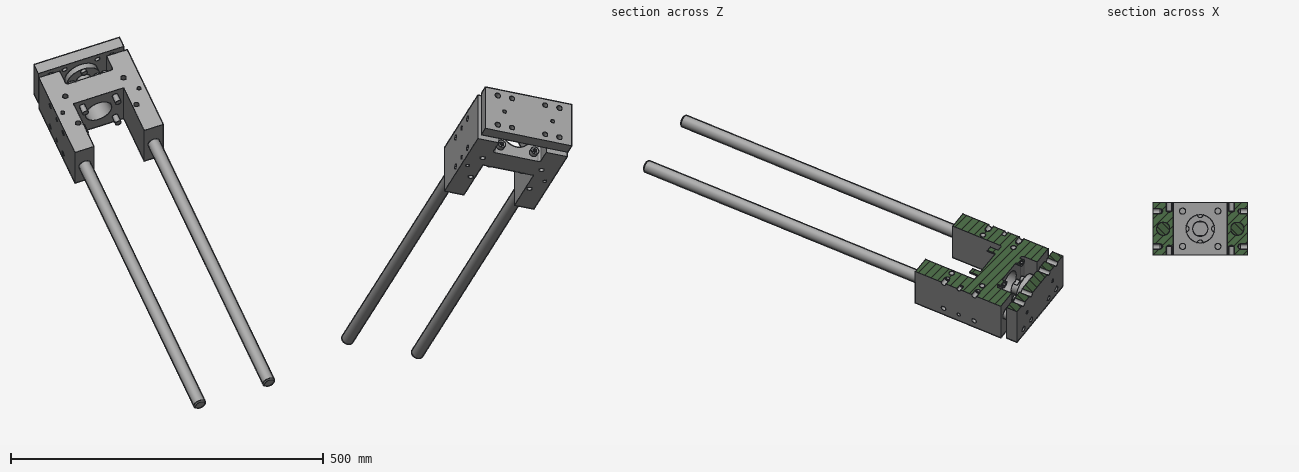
import cadquery as cq
import math

total_length = 695.0

plate_thickness = 19.5
plate_width = 147.0
plate_height = 80.5

rod_diameter = 20.0
rod_spacing = 119.0
rod_tip_chamfer = 2.0

block_start = 28.5
block_length = 158.5
block_width = 152.0
block_height = 85.0

front_notch_width = 80.5
rear_notch_width = 86.0
web_start = 57.0
web_thickness = 39.5
notch_corner_radius = 4.0

bolt_circle_diameter = 80.0
cylinder_bore_diameter = 45.0
screw_head_diameter = 13.0
screw_head_height = 8.0
screw_shank_diameter = 10.0
socket_across_flats = 6.0
socket_depth = 4.0
screw_tip_length = 14.5

tapped_hole_diameter = 8.0
side_hole_depth = 12.0
side_core_diameter = 6.7
side_core_depth = 14.0
top_hole_depth = 14.0
dowel_hole_diameter = 6.0
dowel_hole_depth = 10.0
drill_point_angle = 118
hole_group_center = 106.0
top_hole_spacing = 100.0
top_dowel_spacing = 131.5

plate_outer_hole_spacing = 105.0
plate_outer_hole_diameter = 9.0
plate_inner_hole_diameter = 8.0
plate_dowel_spacing = 82.0

flange_diameter = 56.0
flange_thickness = 10.0
flange_screw_radius = 23.0
flange_screw_diameter = 10.0
flange_screw_height = 5.5
stud_diameter = 24.0
stud_length = 17.5
stud_flat_width = 21.5
stud_flat_length = 7.5

bolt_pitch = bolt_circle_diameter / math.sqrt(2)
block_end = block_start + block_length
web_end = web_start + web_thickness
flange_end = plate_thickness + flange_thickness
stud_end = flange_end + stud_length
rod_places = [(-rod_spacing / 2, 0), (rod_spacing / 2, 0)]


def corners(y_spacing, z_spacing):
    """Four points at the corners of a centred rectangle."""
    return [(y * y_spacing / 2, z * z_spacing / 2) for y in (-1, 1) for z in (-1, 1)]


def box(x_start, x_end, width, height):
    """Box between two X positions, centred on the X axis."""
    return cq.Workplane("XY").box(x_end - x_start, width, height).translate(((x_start + x_end) / 2, 0, 0))


def rods_along_x(points, diameter, x_start, x_end):
    """Cylinders parallel to X, centred at (y, z) points."""
    plane = cq.Workplane("YZ", origin=(x_start, 0, 0))
    return plane.pushPoints(points).circle(diameter / 2).extrude(x_end - x_start)


def flat_drill(diameter, depth):
    """Flat-ended drill pointing along -Z from the origin."""
    return cq.Workplane("XY").circle(diameter / 2).extrude(-depth).val()


def pointed_drill(diameter, depth):
    """Drill pointing along -Z from the origin, with a conical tip beyond the given depth."""
    radius = diameter / 2
    tip_length = radius / math.tan(math.radians(drill_point_angle / 2))
    outline = [(0, 0), (radius, 0), (radius, -depth), (0, -depth - tip_length)]
    return cq.Workplane("XZ").polyline(outline).close().revolve(360, (0, 0), (0, 1)).val()


def drill_both_faces(body, plane, half_size, points, drill):
    """Blind holes in the two opposite faces that are parallel to a plane."""
    for side in (-1, 1):
        face = cq.Workplane(plane).workplane(offset=half_size, invert=side < 0)
        holes = face.pushPoints([(x, side * v) for x, v in points])
        body = body.cut(holes.eachpoint(drill.moved, useLocalCoordinates=True))
    return body


def make_block():
    """H-shaped block with bores for the guide rods and for the neck of a cylinder."""
    block = box(block_start, block_end, block_width, block_height)

    front_notch = box(block_start, web_start, front_notch_width, block_height)
    front_notch = front_notch.edges("|Z and >X").fillet(notch_corner_radius)
    rear_notch = box(web_end, block_end, rear_notch_width, block_height)
    block = block.cut(front_notch).cut(rear_notch)

    block = block.cut(rods_along_x(rod_places, rod_diameter, block_start, block_end))
    return block.cut(rods_along_x([(0, 0)], cylinder_bore_diameter, web_start, web_end))


def drill_mounting_holes(block):
    """Threaded and dowel holes in the top, bottom and side faces."""
    dowel_drill = flat_drill(dowel_hole_diameter, dowel_hole_depth)

    top_drill = pointed_drill(tapped_hole_diameter, top_hole_depth)
    top_holes = [(hole_group_center + x, y) for x, y in corners(bolt_pitch, top_hole_spacing)]
    top_dowels = [(hole_group_center, side * top_dowel_spacing / 2) for side in (-1, 1)]
    block = drill_both_faces(block, "XY", block_height / 2, top_holes, top_drill)
    block = drill_both_faces(block, "XY", block_height / 2, top_dowels, dowel_drill)

    thread_drill = flat_drill(tapped_hole_diameter, side_hole_depth)
    side_drill = thread_drill.fuse(pointed_drill(side_core_diameter, side_core_depth))
    side_holes = [(hole_group_center + x, z) for x, z in corners(bolt_pitch, bolt_pitch)]
    side_dowels = [(hole_group_center, side * bolt_pitch / 2) for side in (-1, 1)]
    block = drill_both_faces(block, "XZ", block_width / 2, side_holes, side_drill)
    return drill_both_faces(block, "XZ", block_width / 2, side_dowels, dowel_drill)


def add_cylinder_screws(block):
    """Socket head screws through the web, with their tips standing out behind it."""
    screws = corners(bolt_pitch, bolt_pitch)
    head_start = web_start - screw_head_height
    heads = rods_along_x(screws, screw_head_diameter, head_start, web_start)
    sockets = (
        cq.Workplane("YZ", origin=(head_start, 0, 0))
        .pushPoints(screws)
        .polygon(6, socket_across_flats, circumscribed=True)
        .extrude(socket_depth)
    )
    tips = rods_along_x(screws, screw_shank_diameter, web_end, web_end + screw_tip_length)
    return block.union(heads.cut(sockets)).union(tips)


def make_housing():
    """Drilled block with its screws, as one solid."""
    return add_cylinder_screws(drill_mounting_holes(make_block()))


def make_plate():
    """End plate with four outer and four inner through holes and two blind dowel holes."""
    plate = box(0, plate_thickness, plate_width, plate_height)
    outer_holes = corners(plate_outer_hole_spacing, bolt_pitch)
    inner_holes = corners(bolt_pitch, bolt_pitch)
    dowels = [(side * plate_dowel_spacing / 2, 0) for side in (-1, 1)]
    plate = plate.cut(rods_along_x(outer_holes, plate_outer_hole_diameter, 0, plate_thickness))
    plate = plate.cut(rods_along_x(inner_holes, plate_inner_hole_diameter, 0, plate_thickness))
    return plate.cut(rods_along_x(dowels, dowel_hole_diameter, 0, dowel_hole_depth))


def make_coupling():
    """Round flange with four screw heads and a central stud that has two wrench flats."""
    flange = rods_along_x([(0, 0)], flange_diameter, plate_thickness, flange_end)
    r = flange_screw_radius
    screws = [(r, 0), (0, r), (-r, 0), (0, -r)]
    heads = rods_along_x(screws, flange_screw_diameter, flange_end, flange_end + flange_screw_height)

    flats_start = stud_end - stud_flat_length
    round_stud = rods_along_x([(0, 0)], stud_diameter, flange_end, flats_start)
    flat_end = rods_along_x([(0, 0)], stud_diameter, flats_start, stud_end)
    flat_end = flat_end.intersect(box(flats_start, stud_end, stud_diameter, stud_flat_width))
    return flange.union(heads).union(round_stud).union(flat_end)


def make_slide():
    """End plate with two guide rods and the coupling, as one solid."""
    rods = rods_along_x(rod_places, rod_diameter, plate_thickness, total_length)
    rods = rods.faces(">X").chamfer(rod_tip_chamfer)
    return make_plate().union(rods).union(make_coupling())


housing = make_housing()
slide = make_slide()

result = cq.Compound.makeCompound([housing.solids().val(), slide.solids().val()])